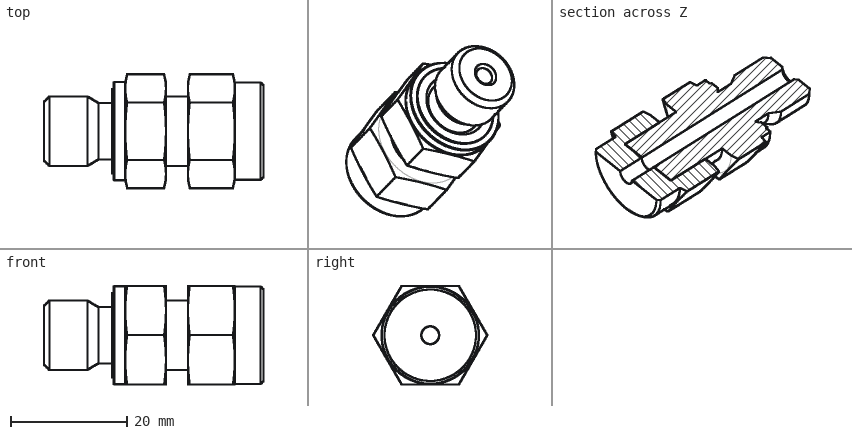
import cadquery as cq
import math

HEX_FLATS = 17.0
HEX_CHAMFER_RADIUS = 8.3
HEX_CHAMFER_DEPTH = 0.35
HEX_CORNER_RADIUS = HEX_FLATS / math.sqrt(3)

THREAD_END_X = 7.5
RELIEF_START_X = 9.37
SEAL_FACE_X = 11.7
COLLAR_START_X = 12.02
STUD_HEX_START_X = 14.0
STUD_HEX_END_X = 21.0
NUT_START_X = 24.75
NUT_HEX_END_X = 32.85
NUT_END_X = 37.8

THREAD_RADIUS = 6.0
RELIEF_RADIUS = 4.88
SEAL_RADIUS = 7.25
COLLAR_RADIUS = 8.45
SLEEVE_RADIUS = 8.4
BORE_RADIUS = 1.5

THREAD_CHAMFER = 1.0
COLLAR_CHAMFER = 0.1
SLEEVE_CHAMFER = 0.53
BORE_CHAMFER = 0.53

UNDERCUT_SIZE = 0.7


def revolve_about_x(outline):
    """Revolve a closed outline of (x, radius) points around the X axis."""
    return cq.Workplane("XY").polyline(outline).close().revolve(360, (0, 0, 0), (1, 0, 0))


def cylinder(start_x, end_x, radius):
    """Make a cylinder on the X axis between two stations."""
    return cq.Workplane("YZ").workplane(offset=start_x).circle(radius).extrude(end_x - start_x)


def wrench_hexagon(start_x, end_x):
    """Make a hexagon with flats facing +Z and -Z and cone-cut corners at both ends."""
    prism = (
        cq.Workplane("YZ")
        .workplane(offset=start_x)
        .polygon(6, 2 * HEX_CORNER_RADIUS)
        .extrude(end_x - start_x)
    )
    envelope = revolve_about_x([
        (start_x, 0),
        (start_x, HEX_CHAMFER_RADIUS),
        (start_x + HEX_CHAMFER_DEPTH, HEX_CORNER_RADIUS),
        (end_x - HEX_CHAMFER_DEPTH, HEX_CORNER_RADIUS),
        (end_x, HEX_CHAMFER_RADIUS),
        (end_x, 0),
    ])
    return prism.intersect(envelope)


def make_stud():
    """Threaded stud with relief, undercut sealing collar, hexagon and the spigot inside the nut."""
    turned = revolve_about_x([
        (0, 0),
        (0, THREAD_RADIUS - THREAD_CHAMFER),
        (THREAD_CHAMFER, THREAD_RADIUS),
        (THREAD_END_X, THREAD_RADIUS),
        (RELIEF_START_X, RELIEF_RADIUS),
        (SEAL_FACE_X + UNDERCUT_SIZE, RELIEF_RADIUS),
        (SEAL_FACE_X, RELIEF_RADIUS + UNDERCUT_SIZE),
        (SEAL_FACE_X, SEAL_RADIUS),
        (COLLAR_START_X, SEAL_RADIUS),
        (COLLAR_START_X, COLLAR_RADIUS - COLLAR_CHAMFER),
        (COLLAR_START_X + COLLAR_CHAMFER, COLLAR_RADIUS),
        (STUD_HEX_START_X, COLLAR_RADIUS),
        (STUD_HEX_START_X, THREAD_RADIUS),
        (NUT_HEX_END_X, THREAD_RADIUS),
        (NUT_HEX_END_X, 0),
    ])
    bore_countersink = revolve_about_x([
        (0, 0),
        (0, BORE_RADIUS + BORE_CHAMFER),
        (BORE_CHAMFER, BORE_RADIUS),
        (BORE_CHAMFER, 0),
    ])
    hexagon = wrench_hexagon(STUD_HEX_START_X, STUD_HEX_END_X)
    bore = cylinder(0, NUT_HEX_END_X, BORE_RADIUS)
    return turned.union(hexagon).cut(bore).cut(bore_countersink)


def make_nut():
    """Hexagon nut with a round sleeve, recessed for the stud's spigot and bored through."""
    sleeve = revolve_about_x([
        (NUT_HEX_END_X, 0),
        (NUT_HEX_END_X, SLEEVE_RADIUS),
        (NUT_END_X - SLEEVE_CHAMFER, SLEEVE_RADIUS),
        (NUT_END_X, SLEEVE_RADIUS - SLEEVE_CHAMFER),
        (NUT_END_X, 0),
    ])
    hexagon = wrench_hexagon(NUT_START_X, NUT_HEX_END_X)
    spigot_recess = cylinder(NUT_START_X, NUT_HEX_END_X, THREAD_RADIUS)
    bore = cylinder(NUT_HEX_END_X, NUT_END_X, BORE_RADIUS)
    return hexagon.union(sleeve).cut(spigot_recess).cut(bore)


stud = make_stud()
nut = make_nut()
result = cq.Compound.makeCompound([stud.val(), nut.val()])